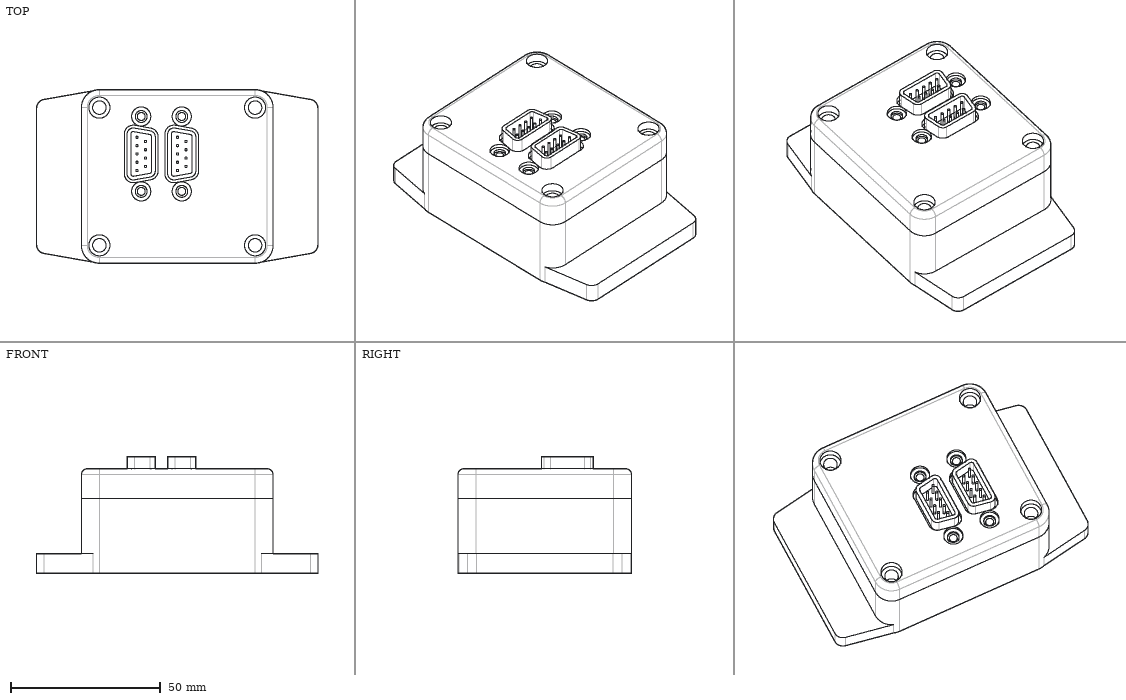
import cadquery as cq
import math

total_length = 94.0
box_length = 64.0
box_width = 58.0
box_top = 35.0
corner_radius = 6.0
seam_height = 25.0
top_edge_radius = 2.0

flange_height = 6.6
flange_taper = 10.0
flange_corner_radius = 3.0

screw_x = box_length / 2 - corner_radius
screw_y = box_width / 2 - corner_radius
screw_hole_diameter = 4.5
screw_head_diameter = 7.05
screw_head_depth = 3.0

connector_xs = (-12.0, 1.5)
connector_y = 7.5
connector_top = 39.0
panel_thickness = 2.1
plate_top = box_top - panel_thickness
plate_length = 30.8
plate_width = 12.5

socket_width = 7.0
socket_length = 15.2
socket_corner_radius = 0.8
socket_taper = 10.0
shell_wall = 1.2
opening_gap = 0.9

mount_spacing = 25.0
mount_tap_diameter = 2.6
mount_hole_diameter = 3.95
mount_head_diameter = 6.4
mount_head_depth = 1.2

pin_diameter = 0.75
long_row_length = 11.1
pin_row_spacing = 2.8
pin_top = 38.5
long_row_count = 5
short_row_count = 4
pin_pitch = long_row_length / (long_row_count - 1)


def rounded_box(bottom, top):
    """Box footprint with rounded vertical corners between two heights."""
    return (
        cq.Workplane("XY", origin=(0, 0, bottom))
        .rect(box_length, box_width)
        .extrude(top - bottom)
        .edges("|Z")
        .fillet(corner_radius)
    )


def mount_points(x):
    """Screw positions beyond both Y ends of one connector."""
    return [(x, connector_y + side * mount_spacing / 2) for side in (-1, 1)]


def cylinders(points, diameter, bottom, top):
    """Upright cylinders at the given points between two heights."""
    return (
        cq.Workplane("XY", origin=(0, 0, bottom))
        .pushPoints(points)
        .circle(diameter / 2)
        .extrude(top - bottom)
    )


def d_prism(x, growth, bottom, top):
    """D-shaped prism: the socket outline grown evenly outwards."""
    taper = math.radians(socket_taper)
    half_width = socket_width / 2 + growth
    mid_half_length = (
        socket_length / 2 - socket_width / 2 * math.tan(taper) + growth / math.cos(taper)
    )
    half_drop = half_width * math.tan(taper)
    wide = mid_half_length + half_drop
    narrow = mid_half_length - half_drop
    return (
        cq.Workplane("XY", origin=(x, connector_y, bottom))
        .polyline([(-half_width, -wide), (half_width, -narrow), (half_width, narrow), (-half_width, wide)])
        .close()
        .extrude(top - bottom)
        .edges("|Z")
        .fillet(socket_corner_radius + growth)
    )


def connector_plate(x):
    """Rear block of a connector, from the seam up to the underside of the lid panel."""
    return cq.Workplane("XY").box(
        plate_width, plate_length, plate_top - seam_height, centered=(True, True, False)
    ).translate((x, connector_y, seam_height))


def pin_points(x):
    """Pin positions: a row of five on the wide side and a row of four on the narrow side."""
    points = []
    for row_x, count in ((-pin_row_spacing / 2, long_row_count), (pin_row_spacing / 2, short_row_count)):
        for index in range(count):
            points.append((x + row_x, connector_y + (index - (count - 1) / 2) * pin_pitch))
    return points


def make_base():
    """Box bottom with a tapered mounting flange at each end."""
    end_x = total_length / 2
    root_y = box_width / 2
    end_y = root_y - (end_x - screw_x) * math.tan(math.radians(flange_taper))
    right_side = [(screw_x, root_y), (end_x, end_y), (end_x, -end_y), (screw_x, -root_y)]
    outline = right_side + [(-px, -py) for px, py in right_side]
    flange = (
        cq.Workplane("XY")
        .polyline(outline)
        .close()
        .extrude(flange_height)
        .edges("|Z and (<X or >X)")
        .fillet(flange_corner_radius)
    )
    return rounded_box(0, seam_height).union(flange)


def make_lid():
    """Lid with corner screw holes and an opening, screw holes and recess for each connector."""
    lid = rounded_box(seam_height, box_top).faces(">Z").edges().fillet(top_edge_radius)
    corners = [(sx * screw_x, sy * screw_y) for sx in (-1, 1) for sy in (-1, 1)]
    lid = lid.cut(cylinders(corners, screw_hole_diameter, seam_height, box_top))
    lid = lid.cut(cylinders(corners, screw_head_diameter, box_top - screw_head_depth, box_top))
    for x in connector_xs:
        lid = lid.cut(connector_plate(x))
        lid = lid.cut(d_prism(x, shell_wall + opening_gap, plate_top, box_top))
        lid = lid.cut(cylinders(mount_points(x), mount_hole_diameter, plate_top, box_top))
        lid = lid.cut(cylinders(mount_points(x), mount_head_diameter, box_top - mount_head_depth, box_top))
    return lid


def make_connector(x):
    """Connector block with a D-shaped shell, nine pins and two screw holes."""
    shell = d_prism(x, shell_wall, plate_top, connector_top)
    shell = shell.cut(d_prism(x, 0, plate_top, connector_top))
    connector = connector_plate(x).union(shell)
    connector = connector.union(cylinders(pin_points(x), pin_diameter, plate_top, pin_top))
    return connector.cut(cylinders(mount_points(x), mount_tap_diameter, seam_height, plate_top))


base = make_base()
lid = make_lid()
connectors = [make_connector(x) for x in connector_xs]

result = cq.Compound.makeCompound([base.val(), lid.val(), *[c.val() for c in connectors]])